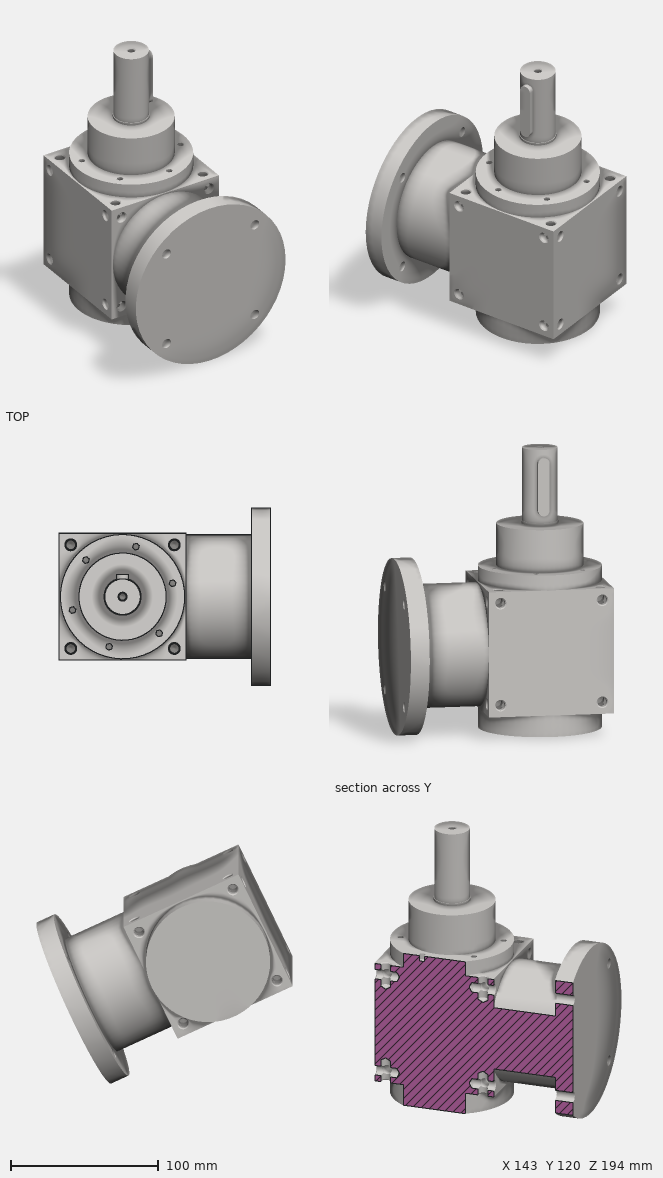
import cadquery as cq
import math


BLOCK_SIDE = 86.0
BLOCK_HALF = BLOCK_SIDE / 2

CORNER_HOLE_DIA = 6.5
CORNER_HOLE_MOUTH_DIA = 8.0
CORNER_HOLE_SPACING = 70.0
CORNER_HOLE_DEPTH = 16.0

COVER_DIA = 84.0
TOP_COVER_THICKNESS = 10.0
BOTTOM_COVER_THICKNESS = 15.0

BOSS_DIA = 59.0
BOSS_HEIGHT = 29.0

SCREW_COUNT = 6
SCREW_CIRCLE_DIA = 70.0
SCREW_START_ANGLE = 15
SCREW_HEAD_DIA = 8.5
SCREW_HEAD_HEIGHT = 5.0
SOCKET_SIDES = 6
SOCKET_ACROSS_FLATS = 4.0
SOCKET_CORNER_DIA = SOCKET_ACROSS_FLATS / math.cos(math.pi / SOCKET_SIDES)
SOCKET_DEPTH = 3.9

FLANGE_DIA = 120.0
FLANGE_THICKNESS = 13.0
OVERALL_LENGTH = 143.0
FLANGE_FACE_X = OVERALL_LENGTH - BLOCK_HALF
FLANGE_HOLE_DIA = 7.0
FLANGE_HOLE_CIRCLE_DIA = 100.1
FLANGE_HOLE_COUNT = 4
FLANGE_HOLE_START_ANGLE = 45

OVERALL_HEIGHT = 194
SHAFT_TOP_Z = OVERALL_HEIGHT - FLANGE_DIA / 2
SHAFT_DIA = 24.0
COLLAR_DIA = 25.0
BOSS_TOP_Z = BLOCK_HALF + TOP_COVER_THICKNESS + BOSS_HEIGHT
COLLAR_HEIGHT = 1.7
SHAFT_HOLE_DIA = 4.8
SHAFT_HOLE_MOUTH_DIA = 6.0
SHAFT_HOLE_DEPTH = 16.0

KEY_LENGTH = 40.0
KEY_WIDTH = 8.0
KEY_HEIGHT = 7.0
KEY_OUTER_Y = 15.1
KEY_MIDDLE_Z = (SHAFT_TOP_Z + BOSS_TOP_Z + COLLAR_HEIGHT) / 2

DRILL_TIP_ANGLE = math.radians(118)


def drilled_hole(diameter, mouth_diameter, depth):
    """Blind hole going down from the origin, with a 45 degree mouth and a conical drill tip."""
    radius = diameter / 2
    mouth_radius = mouth_diameter / 2
    tip_depth = depth + radius / math.tan(DRILL_TIP_ANGLE / 2)
    return (
        cq.Workplane("XZ")
        .moveTo(0, 0)
        .lineTo(mouth_radius, 0)
        .lineTo(radius, radius - mouth_radius)
        .lineTo(radius, -depth)
        .lineTo(0, -tip_depth)
        .close()
        .revolve(360, (0, 0), (0, 1))
    )


def top_face_holes():
    """Four corner holes of the block's +Z face."""
    hole = drilled_hole(CORNER_HOLE_DIA, CORNER_HOLE_MOUTH_DIA, CORNER_HOLE_DEPTH).val()
    return (
        cq.Workplane("XY", origin=(0, 0, BLOCK_HALF))
        .rect(CORNER_HOLE_SPACING, CORNER_HOLE_SPACING, forConstruction=True)
        .vertices()
        .eachpoint(lambda place: hole.moved(place))
    )


def drilled_block():
    block = cq.Workplane("XY").box(BLOCK_SIDE, BLOCK_SIDE, BLOCK_SIDE)
    for turn in range(4):
        block = block.cut(top_face_holes().rotate((0, 0, 0), (1, 0, 0), 90 * turn))
    for angle in (90, -90):
        block = block.cut(top_face_holes().rotate((0, 0, 0), (0, 1, 0), angle))
    return block


def mounting_flange():
    """Neck and drilled flange on the +X side."""
    neck = cq.Workplane("YZ", origin=(BLOCK_HALF, 0, 0)).circle(COVER_DIA / 2)
    neck = neck.extrude(FLANGE_FACE_X - BLOCK_HALF)
    disc = (
        cq.Workplane("YZ", origin=(FLANGE_FACE_X, 0, 0))
        .circle(FLANGE_DIA / 2)
        .extrude(-FLANGE_THICKNESS)
        .faces(">X")
        .workplane()
        .polarArray(FLANGE_HOLE_CIRCLE_DIA / 2, FLANGE_HOLE_START_ANGLE, 360, FLANGE_HOLE_COUNT)
        .hole(FLANGE_HOLE_DIA)
    )
    return neck.union(disc)


def covers():
    """Top cover with its boss, and the bottom cover."""
    top = (
        cq.Workplane("XY", origin=(0, 0, BLOCK_HALF))
        .circle(COVER_DIA / 2)
        .extrude(TOP_COVER_THICKNESS)
        .faces(">Z")
        .workplane()
        .circle(BOSS_DIA / 2)
        .extrude(BOSS_HEIGHT)
    )
    bottom = cq.Workplane("XY", origin=(0, 0, -BLOCK_HALF)).circle(COVER_DIA / 2)
    return top, bottom.extrude(-BOTTOM_COVER_THICKNESS)


def screw_places():
    """Screw centres on the upper face of the top cover."""
    cover_face = cq.Workplane("XY", origin=(0, 0, BLOCK_HALF + TOP_COVER_THICKNESS))
    return cover_face.polarArray(SCREW_CIRCLE_DIA / 2, SCREW_START_ANGLE, 360, SCREW_COUNT)


def build_housing():
    top_cover, bottom_cover = covers()
    body = drilled_block().union(mounting_flange()).union(top_cover).union(bottom_cover)
    heads = screw_places().circle(SCREW_HEAD_DIA / 2).extrude(-SCREW_HEAD_HEIGHT)
    sockets = screw_places().polygon(SOCKET_SIDES, SOCKET_CORNER_DIA).extrude(-SOCKET_DEPTH)
    return body.union(heads, clean=False).cut(sockets, clean=False)


def build_key():
    return (
        cq.Workplane("XZ", origin=(0, KEY_OUTER_Y, KEY_MIDDLE_Z))
        .slot2D(KEY_LENGTH, KEY_WIDTH, 90)
        .extrude(KEY_HEIGHT)
    )


def build_shaft(key_body):
    """Shaft standing on the boss, with a keyway that fits the key and a centre hole in its end."""
    collar = cq.Workplane("XY", origin=(0, 0, BOSS_TOP_Z)).circle(COLLAR_DIA / 2).extrude(COLLAR_HEIGHT)
    journal = cq.Workplane("XY", origin=(0, 0, BOSS_TOP_Z)).circle(SHAFT_DIA / 2)
    journal = journal.extrude(SHAFT_TOP_Z - BOSS_TOP_Z)
    centre_hole = drilled_hole(SHAFT_HOLE_DIA, SHAFT_HOLE_MOUTH_DIA, SHAFT_HOLE_DEPTH)
    return collar.union(journal).cut(centre_hole.translate((0, 0, SHAFT_TOP_Z))).cut(key_body)


housing = build_housing()
key = build_key()
shaft = build_shaft(key)

result = cq.Compound.makeCompound([housing.solids().val(), shaft.solids().val(), key.val()])